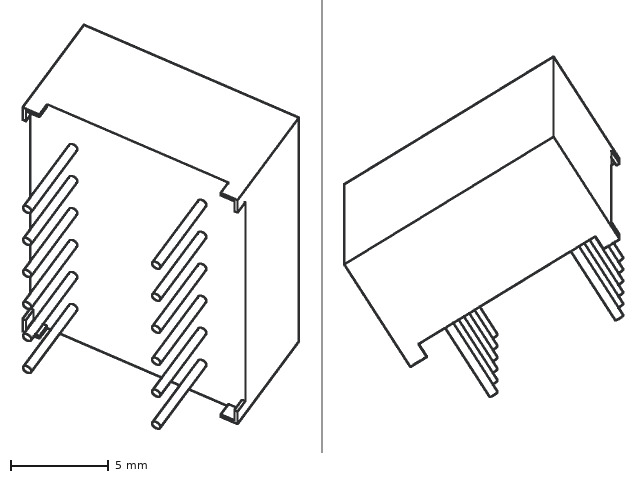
import cadquery as cq

body_height = 17.78
pin_pitch = body_height / 7
body_width = 5 * pin_pitch
total_depth = 10.4

body_depth = 5.6
foot_depth = 0.8
pin_length = total_depth - body_depth

foot_leg = 1.0
foot_thickness = 0.2

pin_columns = 2
pin_diameter = 0.5
pins_per_column = 6
column_spacing = 3 * pin_pitch


def make_body():
    """Plain block with its pin face on the plane Y = 0."""
    return cq.Workplane("XY").box(body_width, body_depth, body_height, centered=(True, False, True))


def make_foot(side_x, side_z):
    """L-shaped foot flush with the corner on the given X and Z sides."""
    corner_x = side_x * body_width / 2
    corner_z = side_z * body_height / 2
    leg_x = corner_x - side_x * foot_leg
    leg_z = corner_z - side_z * foot_leg
    inner_x = corner_x - side_x * foot_thickness
    inner_z = corner_z - side_z * foot_thickness
    outline = [
        (corner_x, corner_z),
        (leg_x, corner_z),
        (leg_x, inner_z),
        (inner_x, inner_z),
        (inner_x, leg_z),
        (corner_x, leg_z),
    ]
    return cq.Workplane("XZ").polyline(outline).close().extrude(foot_depth)


def make_pins():
    """All pins, standing on the pin face of the body."""
    return (
        cq.Workplane("XZ")
        .rarray(column_spacing, pin_pitch, pin_columns, pins_per_column)
        .circle(pin_diameter / 2)
        .extrude(pin_length)
    )


result = make_body().union(make_pins())
for side_x in (-1, 1):
    for side_z in (-1, 1):
        result = result.union(make_foot(side_x, side_z))